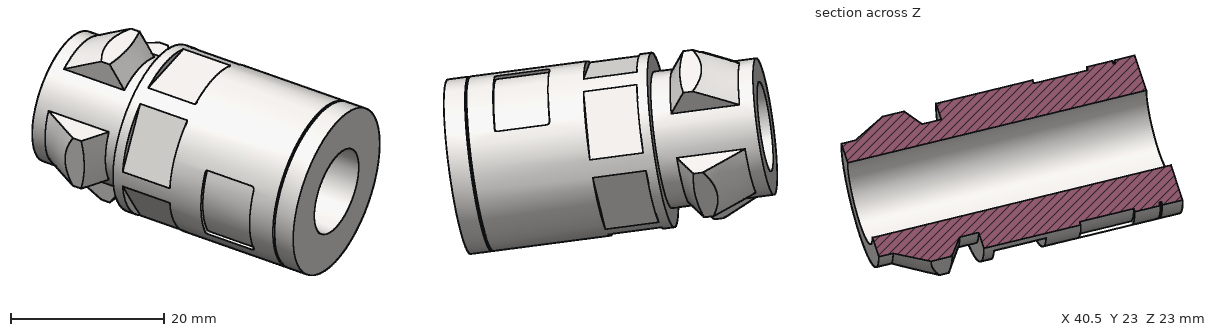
import cadquery as cq
import math

length = 40.5
body_diameter = 23.0
neck_diameter = 18.0
bore_diameter = 11.8
neck_length = 13.53

lug_start = 1.95
lug_end = 10.98
lug_width = 7.95
lug_ridge_x = 8.42
lug_ridge_radius = 12.68

flat_count = 6
flat_start = 14.95
flat_length = 7.05
across_flats = 21.0

pocket_start = 26.7
pocket_length = 7.3
pocket_height = 10.57
pocket_floor_diameter = 22.0
pocket_corner_radius = 0.4

groove_start = 37.45
groove_width = 0.25
groove_floor_diameter = 22.0


def cylinder(diameter, start, size):
    """Solid cylinder on the X axis."""
    return cq.Workplane("YZ", origin=(start, 0, 0)).circle(diameter / 2).extrude(size)


def ring(inner_diameter, start, size):
    """Ring cutter that reaches outside the body."""
    return cylinder(2 * body_diameter, start, size).cut(cylinder(inner_diameter, start, size))


def make_lugs():
    """Double cone trimmed to a cross, leaving four flat-topped lugs."""
    neck_radius = neck_diameter / 2
    double_cone = (
        cq.Workplane("XY")
        .moveTo(lug_start, 0)
        .lineTo(lug_start, neck_radius)
        .lineTo(lug_ridge_x, lug_ridge_radius)
        .lineTo(lug_end, neck_radius)
        .lineTo(lug_end, 0)
        .close()
        .revolve(360, (0, 0, 0), (1, 0, 0))
    )
    upright = cq.Workplane("XY").box(2 * length, lug_width, body_diameter)
    crosswise = cq.Workplane("XY").box(2 * length, body_diameter, lug_width)
    return double_cone.intersect(upright.union(crosswise))


def make_flat_cutter():
    """Ring with a hexagonal hole, one flat facing +Z."""
    hexagon = (
        cq.Workplane("YZ", origin=(flat_start, 0, 0))
        .polygon(flat_count, across_flats / math.cos(math.pi / flat_count))
        .extrude(flat_length)
    )
    return cylinder(2 * body_diameter, flat_start, flat_length).cut(hexagon)


def make_pocket_cutter():
    """Rounded block through both sides, keeping the material inside the floor."""
    block = (
        cq.Workplane("XY")
        .box(pocket_length, 2 * body_diameter, pocket_height)
        .edges("|Y")
        .fillet(pocket_corner_radius)
        .translate((pocket_start + pocket_length / 2, 0, 0))
    )
    return block.intersect(ring(pocket_floor_diameter, pocket_start, pocket_length))


body = cylinder(neck_diameter, 0, neck_length)
body = body.union(cylinder(body_diameter, neck_length, length - neck_length))
body = body.union(make_lugs())
body = body.cut(make_flat_cutter())
body = body.cut(make_pocket_cutter())
body = body.cut(ring(groove_floor_diameter, groove_start, groove_width))
result = body.cut(cylinder(bore_diameter, 0, length))